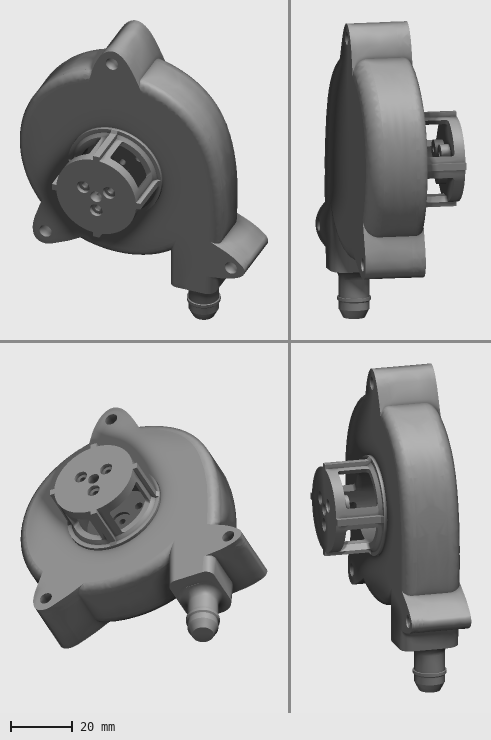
import cadquery as cq
import math


BODY_DEPTH = 20.0
COVER_DEPTH = 3.0
GASKET_BACK = 4.3
HOUSING_FILLET = 5.0

SPIRAL_RADII = {
    15: 35.45, 30: 36.15, 45: 36.7, 60: 36.7, 90: 36.45, 120: 36.4, 150: 35.9,
    180: 34.55, 210: 33.75, 240: 33.0, 270: 32.55,
}
SPIRAL_END_RADIUS = 33.0

OUTLET_LEFT = 18.35
OUTLET_RIGHT = 34.1
OUTLET_BOTTOM = -39.6
RIGHT_WALL = [(34.7, -33.1), (35.9, -18.0), (36.1, -9.0), (35.7, 0.0)]

EAR_HOLE_DIAMETER = 4.3
TOP_EAR_HOLE = (-1.3, 41.0)
TOP_EAR = [
    (-10.3, 29.0), (-8.4, 36.5), (-6.0, 42.2), (-3.8, 44.8), (-1.1, 45.93),
    (1.7, 44.9), (4.2, 42.2), (7.2, 36.7), (10.9, 29.5),
]
LEFT_EAR_HOLE = (-24.6, -29.3)
LEFT_EAR = [
    (-24.7, -14.0), (-26.9, -20.2), (-28.5, -25.0), (-29.05, -30.0), (-27.9, -32.9),
    (-25.0, -34.1), (-21.3, -33.2), (-14.0, -29.7), (-8.0, -26.2),
]
RIGHT_EAR_HOLE = (40.4, -27.3)
RIGHT_EAR = [
    (29.5, -17.3), (36.4, -20.5), (40.4, -22.6), (43.6, -25.0), (45.03, -26.9),
    (44.93, -28.7), (42.4, -30.7), (36.2, -32.3), (29.0, -33.2),
]

NOZZLE_X = 26.1
NOZZLE_Y = 11.5
NOZZLE_RADIUS = 5.0
NOZZLE_FLARE = 3.0
BARB_RADIUS = 5.5
BARB_WIDTH = 1.0
BARB_TOP = OUTLET_BOTTOM - 9.1
TIP_TOP = OUTLET_BOTTOM - 13.1
TIP_END = OUTLET_BOTTOM - 16.0
TIP_RADIUS = 3.5

SCREW_START_ANGLE = 30

BORE_RADIUS = 16.5
MOTOR_FACE = 4.8
MOTOR_BACK = 15.0
MOTOR_RECESS_RADIUS = 3.25
MOTOR_RECESS_DEPTH = 1.0
MOTOR_SHAFT_HOLE_RADIUS = 1.1
MOTOR_SHAFT_HOLE_DEPTH = 4.0
MOTOR_SCREW_COUNT = 3
MOTOR_SCREW_HOLE_RADIUS = 1.4
MOTOR_SCREW_HOLE_DEPTH = 4.0
MOTOR_SCREW_CIRCLE_RADIUS = 7.3

HUB_END = -16.5
HUB_FLANGE_RADIUS = 16.4
HUB_FLANGE_FACE = -1.0
HUB_FOOT_RADIUS = 15.0
HUB_WALL_RADIUS = 14.0
HUB_INNER_RADIUS = 12.0
HUB_WINDOW_START = -2.2
HUB_CAP_INSIDE = -13.0
HUB_CENTER_HOLE_RADIUS = 2.0
RIB_COUNT = 4
RIB_RADIUS = 15.5
RIB_WIDTH = 2.2
RIB_FOOT_DEPTH = 0.8
WINDOW_WIDTH = 14.1
WINDOW_CENTER_ANGLE = 46.5
WINDOW_FILLET = 0.9
HUB_SCREW_COUNT = 3
HUB_SCREW_CIRCLE_RADIUS = 5.2
HUB_BOSS_RADIUS = 3.0
HUB_BOSS_LENGTH = 3.0
HUB_SCREW_HOLE_RADIUS = 1.1
HUB_COUNTERBORE_RADIUS = 2.2
HUB_COUNTERBORE_DEPTH = 1.5


def xz_plane(y):
    """Sketch plane facing -Y at height y: local x is X, local y is Z."""
    return cq.Workplane("XZ", origin=(0, y, 0))


def cylinder(y_start, y_end, radius, center=(0, 0)):
    """Cylinder along Y from y_start to y_end, with its axis at center in X and Z."""
    return xz_plane(y_start).center(*center).circle(radius).extrude(y_start - y_end)


def polar(radius, angle):
    """X and Z of the point at a radius and an angle in degrees."""
    return (radius * math.cos(math.radians(angle)), radius * math.sin(math.radians(angle)))


def ring_points(count, radius, start_angle):
    """Points spread evenly on a circle around the axis."""
    return [polar(radius, start_angle + i * 360 / count) for i in range(count)]


def volute_slab(y_start, y_end):
    """Volute and outlet block, cut straight, from y_start to y_end."""
    wall = RIGHT_WALL + [polar(radius, angle) for angle, radius in SPIRAL_RADII.items()]
    wall.append((OUTLET_LEFT, -math.sqrt(SPIRAL_END_RADIUS**2 - OUTLET_LEFT**2)))
    outline = xz_plane(y_start).moveTo(OUTLET_RIGHT, OUTLET_BOTTOM).spline(wall, includeCurrent=True)
    return outline.lineTo(OUTLET_LEFT, OUTLET_BOTTOM).close().extrude(y_start - y_end)


def round_face_rim(slab, face, radius):
    """Fillet the rim of a face, except its straight edge over the outlet end."""
    rim = slab.faces(face).edges()
    outlet_edge = rim.edges("<Z").val()
    rounded = [edge for edge in rim.vals() if not edge.isSame(outlet_edge)]
    return rim.newObject(rounded).fillet(radius)


def add_ears(body, y_start, y_end):
    """Join the three ears to a body and drill their holes."""
    ears = [(TOP_EAR, TOP_EAR_HOLE), (LEFT_EAR, LEFT_EAR_HOLE), (RIGHT_EAR, RIGHT_EAR_HOLE)]
    for outline, hole in ears:
        ear = xz_plane(y_start).moveTo(*outline[0]).spline(outline[1:], includeCurrent=True)
        ear = ear.close().extrude(y_start - y_end)
        body = body.union(ear)
        body = body.cut(cylinder(y_start, y_end, EAR_HOLE_DIAMETER / 2, hole))
    return body


def make_cover():
    rounded = round_face_rim(volute_slab(0, GASKET_BACK), "<Y", COVER_DEPTH)
    cover = rounded.intersect(volute_slab(0, COVER_DEPTH))
    cover = add_ears(cover, 0, COVER_DEPTH)
    return cover.cut(cylinder(0, COVER_DEPTH, BORE_RADIUS))


def make_gasket():
    gasket = add_ears(volute_slab(COVER_DEPTH, GASKET_BACK), COVER_DEPTH, GASKET_BACK)
    return gasket.cut(cylinder(COVER_DEPTH, GASKET_BACK, BORE_RADIUS))


def make_nozzle():
    """Nozzle below the outlet block: flare, tube, hose barb and tapered tip."""
    flare_radius = NOZZLE_RADIUS + NOZZLE_FLARE
    flare_end = OUTLET_BOTTOM - NOZZLE_FLARE
    arc_offset = NOZZLE_FLARE * (1 - math.sqrt(0.5))
    barb_edge = BARB_TOP - BARB_WIDTH
    profile = (
        cq.Workplane("XZ", origin=(NOZZLE_X, NOZZLE_Y, 0))
        .moveTo(0, OUTLET_BOTTOM)
        .lineTo(flare_radius, OUTLET_BOTTOM)
        .threePointArc(
            (NOZZLE_RADIUS + arc_offset, OUTLET_BOTTOM - arc_offset),
            (NOZZLE_RADIUS, flare_end),
        )
        .lineTo(NOZZLE_RADIUS, BARB_TOP)
        .lineTo(BARB_RADIUS, BARB_TOP)
        .lineTo(BARB_RADIUS, barb_edge)
        .lineTo(NOZZLE_RADIUS, barb_edge - (BARB_RADIUS - NOZZLE_RADIUS))
        .lineTo(NOZZLE_RADIUS, TIP_TOP)
        .lineTo(TIP_RADIUS, TIP_END)
        .lineTo(0, TIP_END)
        .close()
    )
    nozzle = profile.revolve(360, (0, 0, 0), (0, 1, 0))
    height = OUTLET_BOTTOM - TIP_END
    limit = cq.Workplane("XY").box(
        OUTLET_RIGHT - OUTLET_LEFT, BODY_DEPTH - GASKET_BACK, height, centered=False
    )
    return nozzle.intersect(limit.translate((OUTLET_LEFT, GASKET_BACK, TIP_END)))


def make_housing():
    housing = round_face_rim(volute_slab(GASKET_BACK, BODY_DEPTH), ">Y", HOUSING_FILLET)
    housing = add_ears(housing, GASKET_BACK, BODY_DEPTH)
    housing = housing.union(make_nozzle())
    return housing.cut(cylinder(GASKET_BACK, MOTOR_BACK, BORE_RADIUS))


def make_motor():
    motor = cylinder(MOTOR_FACE, MOTOR_BACK, BORE_RADIUS)
    recess_floor = MOTOR_FACE + MOTOR_RECESS_DEPTH
    motor = motor.cut(cylinder(MOTOR_FACE, recess_floor, MOTOR_RECESS_RADIUS))
    shaft_hole_end = recess_floor + MOTOR_SHAFT_HOLE_DEPTH
    motor = motor.cut(cylinder(recess_floor, shaft_hole_end, MOTOR_SHAFT_HOLE_RADIUS))
    screw_hole_end = MOTOR_FACE + MOTOR_SCREW_HOLE_DEPTH
    for center in ring_points(MOTOR_SCREW_COUNT, MOTOR_SCREW_CIRCLE_RADIUS, SCREW_START_ANGLE):
        motor = motor.cut(cylinder(MOTOR_FACE, screw_hole_end, MOTOR_SCREW_HOLE_RADIUS, center))
    return motor


def make_hub_shell():
    """Hollow turned hub with a flange in the cover bore and a closed cap."""
    profile = (
        cq.Workplane("XY")
        .moveTo(0, HUB_END)
        .lineTo(HUB_WALL_RADIUS, HUB_END)
        .lineTo(HUB_WALL_RADIUS, HUB_WINDOW_START)
        .lineTo(HUB_FOOT_RADIUS, HUB_FLANGE_FACE)
        .lineTo(HUB_FLANGE_RADIUS, HUB_FLANGE_FACE)
        .lineTo(HUB_FLANGE_RADIUS, MOTOR_FACE)
        .lineTo(HUB_INNER_RADIUS, MOTOR_FACE)
        .lineTo(HUB_INNER_RADIUS, HUB_CAP_INSIDE)
        .lineTo(0, HUB_CAP_INSIDE)
        .close()
    )
    return profile.revolve(360, (0, 0, 0), (0, 1, 0))


def make_rib():
    """Rib along the +X side of the hub wall, with a sloped foot on the flange rim."""
    rib_profile = (
        cq.Workplane("XY")
        .workplane(offset=-RIB_WIDTH / 2)
        .moveTo(HUB_INNER_RADIUS, HUB_END)
        .lineTo(RIB_RADIUS, HUB_END)
        .lineTo(RIB_RADIUS, HUB_FLANGE_FACE - RIB_FOOT_DEPTH)
        .lineTo(HUB_FLANGE_RADIUS, HUB_FLANGE_FACE)
        .lineTo(HUB_INNER_RADIUS, HUB_FLANGE_FACE)
        .close()
    )
    rim = cylinder(HUB_FLANGE_FACE, HUB_END, HUB_FLANGE_RADIUS)
    return rib_profile.extrude(RIB_WIDTH).intersect(rim)


def make_window():
    """Cutter for one window: a bar from the axis out along +X, with rounded corners."""
    length = HUB_WINDOW_START - HUB_CAP_INSIDE
    bar = cq.Workplane("XY").box(
        HUB_FLANGE_RADIUS, length, WINDOW_WIDTH, centered=(False, False, True)
    )
    return bar.translate((0, HUB_CAP_INSIDE, 0)).edges("|X").fillet(WINDOW_FILLET)


def make_hub():
    hub = make_hub_shell()
    rib = make_rib()
    window = make_window()
    step = 360 / RIB_COUNT
    axis = ((0, 0, 0), (0, -1, 0))
    for i in range(RIB_COUNT):
        hub = hub.union(rib.rotate(*axis, i * step))
    for i in range(RIB_COUNT):
        hub = hub.cut(window.rotate(*axis, WINDOW_CENTER_ANGLE + i * step))
    boss_end = HUB_CAP_INSIDE + HUB_BOSS_LENGTH
    counterbore_floor = HUB_END + HUB_COUNTERBORE_DEPTH
    for center in ring_points(HUB_SCREW_COUNT, HUB_SCREW_CIRCLE_RADIUS, SCREW_START_ANGLE):
        hub = hub.union(cylinder(HUB_CAP_INSIDE, boss_end, HUB_BOSS_RADIUS, center))
        hub = hub.cut(cylinder(HUB_END, boss_end, HUB_SCREW_HOLE_RADIUS, center))
        hub = hub.cut(cylinder(HUB_END, counterbore_floor, HUB_COUNTERBORE_RADIUS, center))
    return hub.cut(cylinder(HUB_END, boss_end, HUB_CENTER_HOLE_RADIUS))


cover = make_cover()
gasket = make_gasket()
housing = make_housing()
motor = make_motor()
hub = make_hub()

result = cq.Compound.makeCompound(
    [body.solids().val() for body in (cover, gasket, housing, motor, hub)]
)